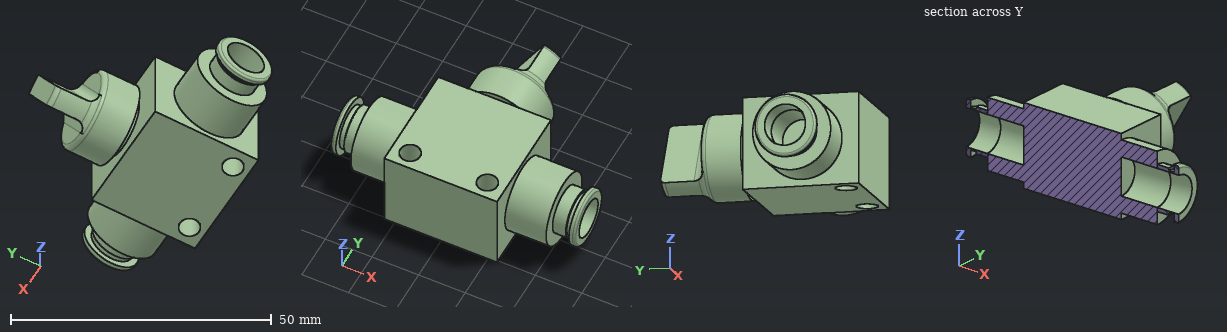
import cadquery as cq
import math

overall_length = 52.4

block_length = 24.2
block_depth = 22.95
block_height = 18.0
port_axis_from_front = 11.0
collar_radius = 7.7
collar_length = 8.85

mount_hole_diameter = 4.2
mount_hole_spacing = 16.55
mount_hole_from_front = 3.45

flange_radius = 6.0
flange_thickness = 1.2
flange_rounding = 0.45
neck_radius = 4.5
neck_length = 1.2
shoulder_radius = 5.0
bore_radius = 4.05

stem_radius = 6.1
stem_length = 1.3
knob_radius = 8.5
knob_base_length = 8.0
knob_rounding = 1.0
grip_length = 8.7
grip_radius = 7.7
grip_thickness = 4.2
grip_angle = -60.0
grip_end_rounding = 1.0
grip_root_fillet = 2.0

port_turns = (0, 180)

block_front = -port_axis_from_front
block_back = block_front + block_depth
collar_end = block_length / 2 + collar_length
sleeve_length = overall_length / 2 - collar_end
knob_base_start = block_back + stem_length
knob_base_end = knob_base_start + knob_base_length


def cylinder_along_x(radius, start, length):
    return cq.Workplane("YZ", origin=(start, 0, 0)).circle(radius).extrude(length)


def cylinder_along_y(radius, start, length):
    return cq.Workplane("XZ", origin=(0, start, 0)).circle(radius).extrude(-length)


def turned_to_port(shape, turn):
    return shape.rotate((0, 0, 0), (0, 0, 1), turn)


def make_housing():
    """Block with two bored port collars and two vertical mounting holes."""
    block = cq.Workplane("XY").box(block_length, block_depth, block_height)
    block = block.translate((0, block_front + block_depth / 2, 0))
    collars = cq.Workplane("YZ").circle(collar_radius).extrude(collar_end, both=True)
    hole_y = block_front + mount_hole_from_front
    mount_holes = (
        cq.Workplane("XY")
        .pushPoints([(side * mount_hole_spacing / 2, hole_y) for side in (-1, 1)])
        .circle(mount_hole_diameter / 2)
        .extrude(block_height, both=True)
    )
    housing = block.union(collars).cut(mount_holes)
    for turn in port_turns:
        bore = cylinder_along_x(bore_radius, block_length / 2, collar_length)
        housing = housing.cut(turned_to_port(bore, turn))
    return housing


def make_release_sleeve(turn):
    """Flanged tube standing on a collar; turned about Z to face its port."""
    flange_start = sleeve_length - flange_thickness
    shoulder_length = flange_start - neck_length
    sleeve = (
        cq.Workplane("YZ", origin=(collar_end, 0, 0))
        .circle(shoulder_radius)
        .extrude(shoulder_length)
        .faces(">X").workplane()
        .circle(neck_radius)
        .extrude(neck_length)
        .faces(">X").workplane()
        .circle(flange_radius)
        .extrude(flange_thickness)
        .faces(">X").edges()
        .fillet(flange_rounding)
    )
    bore = cylinder_along_x(bore_radius, collar_end, sleeve_length)
    return turned_to_port(sleeve.cut(bore), turn)


def make_grip():
    """Flat grip with arc ends: a flared round body cut down to a flared slab.

    The end flare is a concave arc tangent to the grip end and to the rounded rim of the base.
    """
    rim_center_radius = knob_radius - knob_rounding
    rim_center_y = knob_base_end - knob_rounding
    flare_center_radius = grip_radius + grip_root_fillet
    center_distance = knob_rounding + grip_root_fillet
    radial_offset = flare_center_radius - rim_center_radius
    axial_offset = math.sqrt(center_distance**2 - radial_offset**2)
    flare_center_y = rim_center_y + axial_offset
    touch_radius = rim_center_radius + knob_rounding * radial_offset / center_distance
    touch_y = rim_center_y + knob_rounding * axial_offset / center_distance
    tip_y = knob_base_end + grip_length

    round_body = (
        cq.Workplane("XY")
        .moveTo(0, touch_y)
        .lineTo(touch_radius, touch_y)
        .radiusArc((grip_radius, flare_center_y), grip_root_fillet)
        .lineTo(grip_radius, tip_y - grip_end_rounding)
        .radiusArc((grip_radius - grip_end_rounding, tip_y), -grip_end_rounding)
        .lineTo(0, tip_y)
        .close()
        .revolve(360, (0, 0, 0), (0, 1, 0))
    )

    half_thickness = grip_thickness / 2
    half_root = half_thickness + grip_root_fillet
    flare_top = knob_base_end + grip_root_fillet
    slab = (
        cq.Workplane("YZ")
        .moveTo(touch_y, -half_root)
        .lineTo(knob_base_end, -half_root)
        .radiusArc((flare_top, -half_thickness), grip_root_fillet)
        .lineTo(tip_y, -half_thickness)
        .lineTo(tip_y, half_thickness)
        .lineTo(flare_top, half_thickness)
        .radiusArc((knob_base_end, half_root), grip_root_fillet)
        .lineTo(touch_y, half_root)
        .close()
        .extrude(knob_radius, both=True)
    )
    return round_body.intersect(slab)


def make_knob():
    """Stem and round base carrying a flat finger grip turned about the stem axis."""
    stem = cylinder_along_y(stem_radius, block_back, stem_length)
    base = cylinder_along_y(knob_radius, knob_base_start, knob_base_length)
    base = base.faces(">Y").edges().fillet(knob_rounding)
    knob = stem.union(base).union(make_grip())
    return knob.rotate((0, 0, 0), (0, 1, 0), grip_angle)


housing = make_housing()
release_sleeves = [make_release_sleeve(turn) for turn in port_turns]
knob = make_knob()

result = cq.Compound.makeCompound(
    [housing.val(), *[sleeve.val() for sleeve in release_sleeves], knob.val()]
)